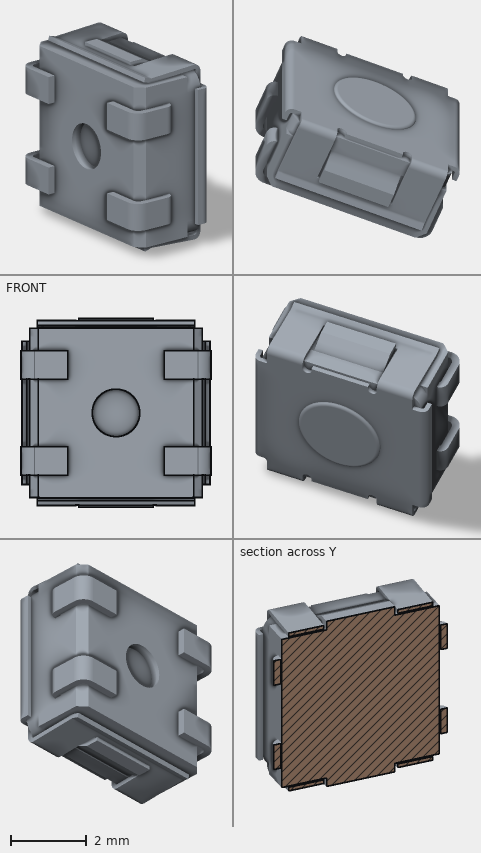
import cadquery as cq
import math


base_half_x = 2.285
base_half_z = 2.245
base_front = 0.285
base_back = 1.895
base_chamfer = 0.23
pocket_diameter = 1.26
pocket_depth = 0.275

frame_back = 2.335
frame_half = 2.285
frame_corner_radius = 0.465

cover_back = 2.48
sheet = 0.125
cover_front = cover_back - sheet
cover_half_x = 2.085
bend_radius = 0.195

flange_half_x = 2.49
flange_half_z = 1.895
flange_front = 2.1

leg_root_z = 2.465
leg_kink = (2.38, 0.845)
leg_kink_radius = 0.1
leg_tip = (2.44, 0.645)

window_half_x = 1.065
window_front = 1.055
tongue_z = 2.23
notch_width = 0.255
notch_depth = 0.205

hook_half_x = 0.99
hook_tip_z = 2.5
hook_front = 0.995
hook_ramp_front = 1.39

button_back = 2.55
button_radius = 1.175
button_edge_radius = 0.1

lead_half_x = 2.515
lead_thickness = 0.2
lead_width = 0.755
lead_spacing = 2.54
lead_foot_end = 1.275
lead_root_back = 1.29
lead_foot_radius = 0.35
lead_root_radius = lead_half_x - base_half_x
lead_embedment = 0.1


def box(x_range, y_range, z_range):
    """Axis-aligned box from three (low, high) ranges."""
    size = [high - low for low, high in (x_range, y_range, z_range)]
    corner = (x_range[0], y_range[0], z_range[0])
    return cq.Workplane("XY").box(*size, centered=False).translate(corner)


def inner_path(outer, thickness):
    """Path offset to the left of the outer path, with mitred corners."""
    normals = []
    for (x0, y0), (x1, y1) in zip(outer, outer[1:]):
        length = math.hypot(x1 - x0, y1 - y0)
        normals.append(((y0 - y1) / length, (x1 - x0) / length))
    before = [normals[0]] + normals
    after = normals + [normals[-1]]
    inner = []
    for (x, y), (ax, ay), (bx, by) in zip(outer, before, after):
        reach = thickness / (1 + ax * bx + ay * by)
        inner.append((x + (ax + bx) * reach, y + (ay + by) * reach))
    return inner


def bent_strip(outer, thickness, half_width, bends):
    """Strip along an outer path in XY; bends maps a path index to a radius.

    The radius belongs to the outer face; a negative one marks a bend hollow on that face.
    """
    inner = inner_path(outer, thickness)
    strip = cq.Workplane("XY").polyline(outer + inner[::-1]).close().extrude(half_width, both=True)
    for index, radius in bends.items():
        corners = ((outer[index], abs(radius)), (inner[index], abs(radius - thickness)))
        for point, corner_radius in corners:
            edge = cq.selectors.NearestToPointSelector((*point, 0))
            strip = strip.edges("|Z").edges(edge).fillet(corner_radius)
    return strip


def with_mirror(body, plane):
    """The body joined with its reflection in a plane through the origin."""
    return body.union(body.mirror(plane))


def make_base():
    base = box((-base_half_x, base_half_x), (base_front, base_back), (-base_half_z, base_half_z))
    base = base.faces("<Y").edges("|Z").chamfer(base_chamfer)
    pocket = (
        cq.Workplane("XZ", origin=(0, base_front, 0))
        .circle(pocket_diameter / 2)
        .extrude(-pocket_depth)
    )
    return base.cut(pocket)


def make_frame():
    frame = box((-frame_half, frame_half), (base_back, frame_back), (-frame_half, frame_half))
    return frame.edges("|Y").fillet(frame_corner_radius)


def make_window_cut():
    """Window of the +Z leg together with the relief notches at its ends."""
    cut = box(
        (-window_half_x, window_half_x), (window_front, cover_back), (tongue_z, leg_root_z)
    )
    notch_radius = notch_width / 2
    notch_x = window_half_x - notch_radius
    notch_z = tongue_z - notch_depth + notch_radius
    for x in (-notch_x, notch_x):
        notch_end = (
            cq.Workplane("XZ", origin=(x, cover_back, notch_z)).circle(notch_radius).extrude(sheet)
        )
        notch_sides = box(
            (x - notch_radius, x + notch_radius), (cover_front, cover_back), (notch_z, tongue_z)
        )
        cut = cut.union(notch_end).union(notch_sides)
    return cut


def make_cover():
    plate_half_z = leg_root_z - bend_radius - sheet
    plate = box(
        (-cover_half_x, cover_half_x), (cover_front, cover_back), (-plate_half_z, plate_half_z)
    )

    flange_path = [
        (flange_half_x, flange_front),
        (flange_half_x, cover_back),
        (cover_half_x, cover_back),
    ]
    flange = bent_strip(flange_path, sheet, flange_half_z, {1: bend_radius})

    leg_path = [leg_tip, leg_kink, (leg_root_z, cover_back), (plate_half_z, cover_back)]
    leg = bent_strip(leg_path, sheet, cover_half_x, {1: -leg_kink_radius, 2: bend_radius})
    leg = leg.rotate((0, 0, 0), (0, 1, 0), -90)

    window = make_window_cut()
    cover = plate.union(with_mirror(flange, "YZ")).union(with_mirror(leg, "XY"))
    return cover.cut(window).cut(window.mirror("XY"))


def make_hooks():
    profile = [
        (base_back, base_half_z),
        (hook_ramp_front, hook_tip_z),
        (hook_front, hook_tip_z),
        (hook_front, base_half_z),
    ]
    hook = cq.Workplane("YZ").polyline(profile).close().extrude(hook_half_x, both=True)
    return with_mirror(hook, "XY")


def make_button():
    button = cq.Workplane("XZ", origin=(0, frame_back, 0)).circle(button_radius)
    button = button.extrude(frame_back - button_back)
    return button.faces(">Y").edges().fillet(button_edge_radius)


def make_leads():
    path = [
        (lead_foot_end, 0),
        (lead_half_x, 0),
        (lead_half_x, lead_root_back),
        (base_half_x - lead_embedment, lead_root_back),
    ]
    bends = {1: lead_foot_radius, 2: lead_root_radius}
    lead = bent_strip(path, lead_thickness, lead_width / 2, bends)
    lead = lead.translate((0, 0, lead_spacing / 2))
    return with_mirror(with_mirror(lead, "XY"), "YZ")


result = make_base()
for feature in (make_frame(), make_hooks(), make_cover(), make_button(), make_leads()):
    result = result.union(feature)